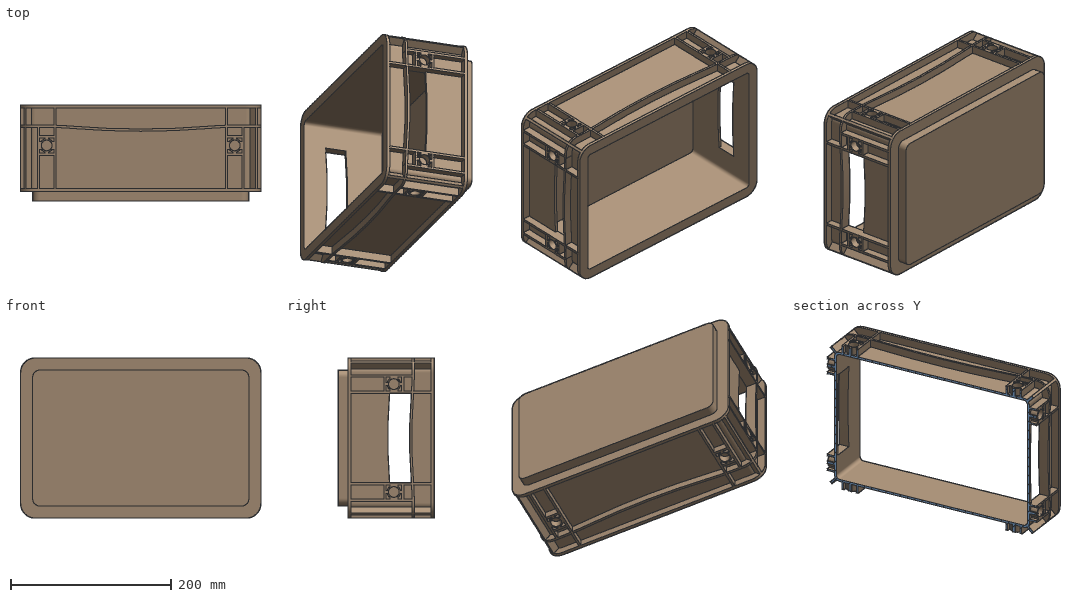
import cadquery as cq
import math


length = 300.0
height = 120.0
width = 200.0
corner_radius = 18.4

wall_inset = 10.0
wall = 3.5
cavity_inset = wall_inset + wall
cavity_radius = corner_radius - cavity_inset
floor = 4.0

base_height = 12.0
base_inset = 15.2
base_radius = 9.0

mouth_y = height / 2
base_y = -height / 2
shoulder_y = base_y + base_height
flange = 4.0
shoulder_top_y = shoulder_y + flange

rib = 2.85
corner_rib_offset = 21.1
panel_rib_offset = 41.5
diagonal_rib = 3.5
cross_rib_top_y = mouth_y - 25.0
cross_rib_bottom_y = cross_rib_top_y - rib

boss_y = mouth_y - 50.5
boss_radius = 8.4
boss_hole_radius = 6.7
boss_cell = 19.1
boss_narrow_arm = 3.8
boss_wide_arm = 10.2
boss_offset = (corner_rib_offset + rib + panel_rib_offset) / 2

window_height = 27.0
window_half_width = width / 2 - panel_rib_offset - rib

long_side = {
    "half_run": length / 2,
    "reach": width / 2,
    "bow_sag": 5.0,
    "bow_arc": 83.5,
    "bow_end": length / 2 - corner_rib_offset - 2 * rib,
}
short_side = {
    "half_run": width / 2,
    "reach": length / 2,
    "bow_sag": 3.1,
    "bow_arc": window_half_width,
    "bow_end": width / 2 - corner_rib_offset,
}


def rounded_block(inset, radius, y_low, y_high):
    """Block along Y whose outline is the crate outline moved inwards by the inset."""
    block = cq.Workplane("XY").box(length - 2 * inset, y_high - y_low, width - 2 * inset)
    return block.edges("|Y").fillet(radius).translate((0, (y_low + y_high) / 2, 0))


def on_all_sides(build):
    """Build a feature on every side: each is made facing +Z and turned about Y."""
    parts = cq.Workplane("XY")
    for side, angles in ((long_side, (0, 180)), (short_side, (90, -90))):
        feature = build(side)
        for angle in angles:
            parts = parts.union(feature.rotate((0, 0, 0), (0, 1, 0), angle))
    return parts


def side_box(side, x_center, y_low, y_high, thickness):
    """Box behind the outer face of a side, deep enough to root in the wall."""
    box = cq.Workplane("XY").box(thickness, y_high - y_low, corner_radius)
    return box.translate((x_center, (y_low + y_high) / 2, side["reach"] - corner_radius / 2))


def bow_points(side, level_y):
    """Ends and midpoints of the three tangent arcs of a bow, from -X to +X."""
    sag = side["bow_sag"]
    arc = side["bow_arc"]
    end = side["bow_end"]
    slope = 2 * math.atan(sag / end)
    middle_radius = arc / math.sin(slope)
    end_radius = (end - arc) / math.sin(slope)
    join_y = level_y - sag + middle_radius * (1 - math.cos(slope))
    mid_x = end - end_radius * math.sin(slope / 2)
    mid_y = level_y - end_radius * (1 - math.cos(slope / 2))
    right_half = [(arc, join_y), (mid_x, mid_y), (end, level_y)]
    left_half = [(-x, y) for x, y in reversed(right_half)]
    return left_half + [(0, level_y - sag)] + right_half


def arcs_through(outline, points):
    """Continue an outline from the first point by arcs through each next two points."""
    for middle, end in zip(points[1::2], points[2::2]):
        outline = outline.threePointArc(middle, end)
    return outline


def bowed_strip(side, top_y, bottom_y):
    """Closed outline of a strip along a whole side between two equal bows."""
    upper = bow_points(side, top_y)
    lower = bow_points(side, bottom_y)[::-1]
    half_run = side["half_run"]
    outline = cq.Workplane("XY").moveTo(-half_run, top_y).lineTo(*upper[0])
    outline = arcs_through(outline, upper)
    outline = outline.lineTo(half_run, top_y).lineTo(half_run, bottom_y).lineTo(*lower[0])
    outline = arcs_through(outline, lower)
    return outline.lineTo(-half_run, bottom_y).close()


def cross_rib(side):
    """Bowed rib around the crate below the mouth."""
    strip = bowed_strip(side, cross_rib_top_y, cross_rib_bottom_y)
    return strip.extrude(corner_radius).translate((0, 0, side["reach"] - corner_radius))


def upright_ribs(side):
    """Panel ribs up to the mouth and corner ribs up to the cross rib."""
    panel_x = side["half_run"] - panel_rib_offset - rib / 2
    corner_x = side["half_run"] - corner_rib_offset - rib / 2
    ribs = cq.Workplane("XY")
    for sign in (-1, 1):
        ribs = ribs.union(side_box(side, sign * panel_x, shoulder_y, mouth_y, rib))
        ribs = ribs.union(side_box(side, sign * corner_x, shoulder_y, cross_rib_top_y, rib))
    return ribs


def bosses(side):
    """Round barrels held by four arms in cells closed by two short ribs."""
    cell_width = panel_rib_offset - corner_rib_offset
    cell_low = boss_y - boss_cell / 2
    cell_high = boss_y + boss_cell / 2
    wide_low = boss_y - boss_wide_arm / 2
    wide_high = boss_y + boss_wide_arm / 2
    parts = cq.Workplane("XY")
    for sign in (-1, 1):
        x = sign * (side["half_run"] - boss_offset)
        barrel = cq.Workplane("XY").circle(boss_radius).extrude(corner_radius)
        parts = parts.union(barrel.translate((x, boss_y, side["reach"] - corner_radius)))
        parts = parts.union(side_box(side, x, cell_low - rib, cell_low, cell_width))
        parts = parts.union(side_box(side, x, cell_high, cell_high + rib, cell_width))
        parts = parts.union(side_box(side, x, cell_low, cell_high, boss_narrow_arm))
        parts = parts.union(side_box(side, x, wide_low, wide_high, cell_width))
    return parts


def boss_holes(side):
    """Blind holes that stop at the recessed wall."""
    x = side["half_run"] - boss_offset
    holes = cq.Workplane("XY").pushPoints([(-x, boss_y), (x, boss_y)])
    holes = holes.circle(boss_hole_radius).extrude(wall_inset)
    return holes.translate((0, 0, side["reach"] - wall_inset))


def diagonal_ribs():
    """Rib on the diagonal of each rounded corner, from the shoulder to the mouth."""
    rib_height = mouth_y - shoulder_y
    ribs = cq.Workplane("XY")
    for x_side in (-1, 1):
        for z_side in (-1, 1):
            bar = cq.Workplane("XY").box(2 * corner_radius, rib_height, diagonal_rib)
            bar = bar.rotate((0, 0, 0), (0, 1, 0), -45 * x_side * z_side)
            x = x_side * (length / 2 - corner_radius / 2)
            z = z_side * (width / 2 - corner_radius / 2)
            ribs = ribs.union(bar.translate((x, (mouth_y + shoulder_y) / 2, z)))
    return ribs


def grip_windows():
    """Openings through both short walls, bowed like the cross rib above them."""
    strip = bowed_strip(short_side, cross_rib_bottom_y, cross_rib_bottom_y - window_height)
    opening = strip.extrude(length / 2, both=True)
    limit = cq.Workplane("XY").box(2 * window_half_width, height, length)
    return opening.intersect(limit).rotate((0, 0, 0), (0, 1, 0), 90)


envelope = rounded_block(0, corner_radius, shoulder_y, mouth_y)
core = rounded_block(wall_inset, corner_radius - wall_inset, shoulder_y, mouth_y)
rim = rounded_block(0, corner_radius, mouth_y - flange, mouth_y)
shoulder = rounded_block(0, corner_radius, shoulder_y, shoulder_top_y)
base = rounded_block(base_inset, base_radius, base_y, shoulder_y)

rib_work = on_all_sides(cross_rib).union(on_all_sides(upright_ribs)).union(on_all_sides(bosses))
rib_work = rib_work.union(diagonal_ribs()).intersect(envelope)

crate = core.union(rim).union(shoulder).union(rib_work)
crate = crate.cut(on_all_sides(boss_holes))
crate = crate.union(base)

cavity = rounded_block(cavity_inset, cavity_radius, shoulder_y + floor, mouth_y)
result = crate.cut(cavity).cut(grip_windows())